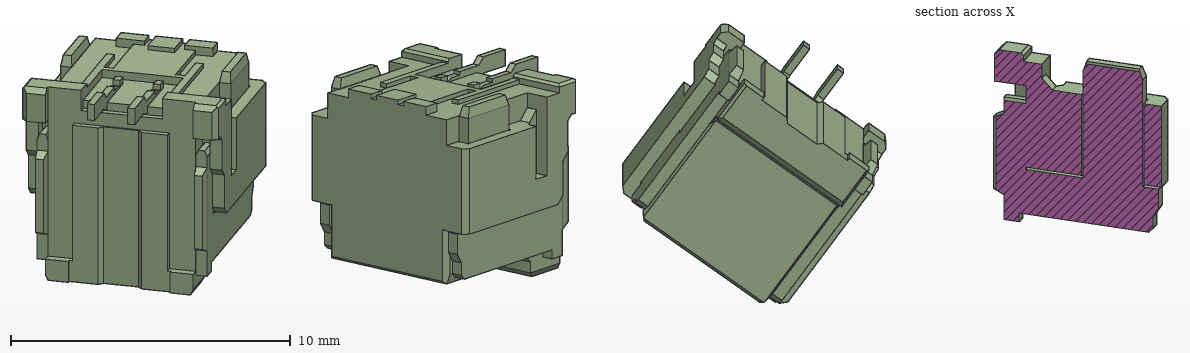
import cadquery as cq


BODY_HALF_WIDTH = 2.75
BODY_DEPTH = 6.04
BODY_BOTTOM = 0.80
BODY_TOP = 6.94
BODY_TAPER_HEIGHT = 0.375
BODY_TAPER_WIDTH = 0.08
SMALL_CHAMFER = 0.10
LARGE_CHAMFER = 0.20

HEAD_HALF_WIDTH = 3.65
HEAD_REAR = 5.25
HEAD_FRONT = 6.37
HEAD_BOTTOM = 5.99
HEAD_TOP = 7.26

WING_INNER = 3.20
WING_BOTTOM = 2.81
WING_SHOULDER = 4.55
NOTCH_UPPER_DEPTH = 5.73
NOTCH_LOWER_DEPTH = 5.45
NOTCH_TOP_CHAMFER = 0.20
NOTCH_STEP_TOP = 4.64
NOTCH_STEP_BOTTOM = 3.09
NOTCH_SLOPE = 0.28
SLOT_REAR = 3.94
SLOT_BOTTOM = 4.02
SLOT_FLOOR_X = 3.17
SLOT_BEVEL = 0.19
RAMP_SIZE = 0.40

CLIP_OUTER = 3.17
CLIP_REAR = 0.10
CLIP_FRONT = 6.01
CLIP_BOTTOM = 0.98
CLIP_SHOULDER = 2.74
CLIP_REAR_STEP = 0.22
CLIP_STEP_TOP = 1.99
CLIP_STEP_BOTTOM = 1.63
CLIP_CORNER = 0.18
CLIP_LEG_REAR = 5.42
CLIP_LEG_BOTTOM = 0.64
CLIP_COLUMN_REAR = 5.17
CLIP_COLUMN_TOP = 5.42
CLIP_COLUMN_CHAMFER_X = 0.09
CLIP_COLUMN_CHAMFER_Z = 0.22
TAB_REAR = 0.71
TAB_FRONT = 3.00
TAB_TOP = 7.30
TAB_BEVEL_HEIGHT = 0.39
TAB_BEVEL_LENGTH = 0.14
TAB_CLEARANCE = 0.04
RIDGE_FRONT = 6.41
RIDGE_BOTTOM = 1.61
RIDGE_TOP = 4.79
RIDGE_BEVEL_HEIGHT = 0.19
CLIP_EDGE_BEVEL = 0.06

PLATEAU_TOP = 7.10
PLATEAU_HALF_WIDTH = 1.16
RAIL_INNER = 1.51
RAIL_OUTER = 1.80
RAIL_REAR = 1.81
PLATEAU_SLOT_FRONT = 3.15
REAR_BLOCK_INNER = 0.75
REAR_BLOCK_DEPTH = 0.61
CENTER_BLOCK_HALF_WIDTH = 0.50
CENTER_BLOCK_DEPTH = 1.02
POCKET_REAR = 3.40
POCKET_FLOOR = 6.80
POCKET_STEP_DEPTH = 5.79
POCKET_STEP_FLOOR = 6.49

PANEL_HALF_WIDTH = 1.77
PANEL_TOP = 5.98
PANEL_FRONT = 6.27
TROUGH_HALF_WIDTH = 0.65
TROUGH_DEPTH = 0.16
FOOT_REAR = 4.72
FOOT_STRAIGHT_TOP = 0.61
FOOT_INNER = 1.89
FOOT_TAPER_WIDTH = 0.10

PIN_PITCH = 1.50
PIN_WIDTH = 0.27
PIN_REAR = 3.78
PIN_BLOCK_FRONT = 4.14
PIN_NECK_TOP = 6.83
PIN_RAMP_REAR = 4.19
PIN_RAMP_MIDDLE = (4.32, 6.895)
PIN_RAMP_FRONT = 4.48
PIN_STEP_TOP = 6.92
PIN_BAR_REAR = 4.84
PIN_BAR_TOP = 7.05
PIN_RISE_REAR = 5.91
PIN_RISE_FRONT = 6.17
PIN_TOP = 7.30
PIN_TIP = 7.40
PIN_TIP_BOTTOM = 6.69
PIN_ROOT_BOTTOM = 6.55
PIN_BEND_START = 5.93
PIN_BEND_END = 6.20


def block(x_range, depth_range, z_range):
    """Box between two X positions, two depths and two heights."""
    x0, x1 = x_range
    d0, d1 = depth_range
    z0, z1 = z_range
    return cq.Workplane("XY").box(x1 - x0, d1 - d0, z1 - z0, centered=False).translate((x0, -d1, z0))


def side_prism(outline, x_range):
    """Prism along X from (depth, height) points."""
    points = [(-depth, z) for depth, z in outline]
    x0, x1 = x_range
    return cq.Workplane("YZ", origin=(x0, 0, 0)).polyline(points).close().extrude(x1 - x0)


def front_prism(outline, depth_range):
    """Prism along Y from (x, height) points."""
    d0, d1 = depth_range
    return cq.Workplane("XZ", origin=(0, -d0, 0)).polyline(outline).close().extrude(d1 - d0)


def plan_prism(outline, z_range):
    """Prism along Z from (x, depth) points."""
    points = [(x, -depth) for x, depth in outline]
    z0, z1 = z_range
    return cq.Workplane("XY", origin=(0, 0, z0)).polyline(points).close().extrude(z1 - z0)


def both_sides(shape):
    """A shape on the -X side together with its mirror image."""
    return shape.union(shape.mirror("YZ"))


def centered(half_width):
    return (-half_width, half_width)


def tapered_section(half_width, bottom, top, taper_width, taper_height):
    """Rectangle whose lower corners are cut off."""
    return [
        (-half_width, top),
        (half_width, top),
        (half_width, bottom + taper_height),
        (half_width - taper_width, bottom),
        (-half_width + taper_width, bottom),
        (-half_width, bottom + taper_height),
    ]


def make_body():
    section = tapered_section(BODY_HALF_WIDTH, BODY_BOTTOM, BODY_TOP, BODY_TAPER_WIDTH, BODY_TAPER_HEIGHT)
    body = front_prism(section, (0, BODY_DEPTH))
    body = body.faces(">Y").edges("<Z").chamfer(SMALL_CHAMFER)
    corner = plan_prism(
        [
            (-BODY_HALF_WIDTH, 0),
            (-BODY_HALF_WIDTH + LARGE_CHAMFER, 0),
            (-BODY_HALF_WIDTH, LARGE_CHAMFER),
        ],
        (BODY_BOTTOM, WING_BOTTOM),
    )
    return body.cut(both_sides(corner))


def make_head():
    head = block(centered(HEAD_HALF_WIDTH), (HEAD_REAR, HEAD_FRONT), (HEAD_BOTTOM, HEAD_TOP))
    head = head.faces("<Y").edges("<X or >X or >Z").chamfer(LARGE_CHAMFER)
    head = head.faces(">Z").edges("<X or >X or >Y").chamfer(SMALL_CHAMFER)
    recess = block(centered(BODY_HALF_WIDTH), (BODY_DEPTH, HEAD_FRONT), (HEAD_BOTTOM, HEAD_TOP))
    return head.cut(recess)


def make_wing():
    wing = side_prism(
        [
            (0, WING_BOTTOM),
            (0, HEAD_BOTTOM),
            (WING_SHOULDER, HEAD_BOTTOM),
            (WING_SHOULDER, BODY_TOP),
            (BODY_DEPTH, BODY_TOP),
            (BODY_DEPTH, HEAD_BOTTOM),
            (NOTCH_UPPER_DEPTH + NOTCH_TOP_CHAMFER, HEAD_BOTTOM),
            (NOTCH_UPPER_DEPTH, HEAD_BOTTOM - NOTCH_TOP_CHAMFER),
            (NOTCH_UPPER_DEPTH, NOTCH_STEP_TOP),
            (NOTCH_LOWER_DEPTH, NOTCH_STEP_TOP - NOTCH_SLOPE),
            (NOTCH_LOWER_DEPTH, NOTCH_STEP_BOTTOM),
            (NOTCH_LOWER_DEPTH - NOTCH_SLOPE, WING_BOTTOM),
        ],
        (-HEAD_HALF_WIDTH, -BODY_HALF_WIDTH),
    )
    wing = wing.cut(
        block((-HEAD_HALF_WIDTH, -BODY_HALF_WIDTH), (HEAD_REAR, BODY_DEPTH), (HEAD_BOTTOM, BODY_TOP))
    )
    wing = wing.faces(">Y").edges("<X").chamfer(LARGE_CHAMFER)
    slot = plan_prism(
        [
            (-HEAD_HALF_WIDTH, SLOT_REAR),
            (-SLOT_FLOOR_X - SLOT_BEVEL, SLOT_REAR),
            (-SLOT_FLOOR_X, SLOT_REAR + SLOT_BEVEL),
            (-SLOT_FLOOR_X, WING_SHOULDER),
            (-HEAD_HALF_WIDTH, WING_SHOULDER),
        ],
        (SLOT_BOTTOM, HEAD_BOTTOM),
    )
    ramp = side_prism(
        [
            (WING_SHOULDER - RAMP_SIZE, HEAD_BOTTOM),
            (WING_SHOULDER, HEAD_BOTTOM + RAMP_SIZE),
            (WING_SHOULDER, HEAD_BOTTOM),
        ],
        (-SLOT_FLOOR_X, -BODY_HALF_WIDTH),
    )
    tab_window = block(
        (-WING_INNER, -BODY_HALF_WIDTH),
        (TAB_REAR - TAB_CLEARANCE, TAB_FRONT + TAB_CLEARANCE),
        (WING_BOTTOM, HEAD_BOTTOM),
    )
    clip_pocket = block(
        (-WING_INNER, -BODY_HALF_WIDTH),
        (CLIP_COLUMN_REAR, BODY_DEPTH),
        (WING_BOTTOM, HEAD_BOTTOM),
    )
    return wing.cut(slot).cut(tab_window).cut(clip_pocket).union(ramp)


def make_clip_tab():
    """Upper end of the clip, which stands out of the wing's window."""
    bevel_start = TAB_TOP - TAB_BEVEL_HEIGHT
    profile = side_prism(
        [
            (TAB_REAR, CLIP_SHOULDER),
            (TAB_REAR, bevel_start),
            (TAB_REAR + TAB_BEVEL_LENGTH, TAB_TOP),
            (TAB_FRONT - TAB_BEVEL_LENGTH, TAB_TOP),
            (TAB_FRONT, bevel_start),
            (TAB_FRONT, CLIP_SHOULDER),
        ],
        (-CLIP_OUTER, -BODY_HALF_WIDTH),
    )
    section = front_prism(
        [
            (-CLIP_OUTER, CLIP_SHOULDER),
            (-CLIP_OUTER, bevel_start),
            (-CLIP_OUTER + CLIP_EDGE_BEVEL, TAB_TOP),
            (-BODY_HALF_WIDTH - CLIP_EDGE_BEVEL, TAB_TOP),
            (-BODY_HALF_WIDTH, bevel_start),
            (-BODY_HALF_WIDTH, CLIP_SHOULDER),
        ],
        (TAB_REAR, TAB_FRONT),
    )
    return profile.intersect(section)


def make_clip_ridge():
    """Bevelled strip on the front edge of the clip."""
    profile = side_prism(
        [
            (CLIP_FRONT, RIDGE_BOTTOM),
            (RIDGE_FRONT, RIDGE_BOTTOM + RIDGE_BEVEL_HEIGHT),
            (RIDGE_FRONT, RIDGE_TOP - RIDGE_BEVEL_HEIGHT),
            (CLIP_FRONT, RIDGE_TOP),
        ],
        (-CLIP_OUTER, -BODY_HALF_WIDTH),
    )
    section = plan_prism(
        [
            (-CLIP_OUTER, CLIP_FRONT),
            (-CLIP_OUTER + CLIP_EDGE_BEVEL, RIDGE_FRONT),
            (-BODY_HALF_WIDTH - CLIP_EDGE_BEVEL, RIDGE_FRONT),
            (-BODY_HALF_WIDTH, CLIP_FRONT),
        ],
        (RIDGE_BOTTOM, RIDGE_TOP),
    )
    return profile.intersect(section)


def make_clip():
    plate = side_prism(
        [
            (CLIP_REAR, CLIP_SHOULDER),
            (CLIP_REAR, CLIP_STEP_TOP),
            (CLIP_REAR + CLIP_REAR_STEP, CLIP_STEP_BOTTOM),
            (CLIP_REAR + CLIP_REAR_STEP, CLIP_BOTTOM + CLIP_CORNER),
            (CLIP_REAR + CLIP_REAR_STEP + CLIP_CORNER, CLIP_BOTTOM),
            (CLIP_LEG_REAR, CLIP_BOTTOM),
            (CLIP_LEG_REAR, CLIP_LEG_BOTTOM),
            (CLIP_FRONT, CLIP_LEG_BOTTOM),
            (CLIP_FRONT, CLIP_SHOULDER),
        ],
        (-CLIP_OUTER, -BODY_HALF_WIDTH),
    )
    bevel_start = CLIP_COLUMN_TOP - CLIP_COLUMN_CHAMFER_Z
    column = front_prism(
        [
            (-CLIP_OUTER, CLIP_SHOULDER),
            (-CLIP_OUTER, bevel_start),
            (-CLIP_OUTER + CLIP_COLUMN_CHAMFER_X, CLIP_COLUMN_TOP),
            (-BODY_HALF_WIDTH - CLIP_COLUMN_CHAMFER_X, CLIP_COLUMN_TOP),
            (-BODY_HALF_WIDTH, bevel_start),
            (-BODY_HALF_WIDTH, CLIP_SHOULDER),
        ],
        (CLIP_COLUMN_REAR, CLIP_FRONT),
    )
    return plate.union(column).union(make_clip_tab()).union(make_clip_ridge())


def make_plateau():
    """Raised surface on the top: a panel and two rails joined by a bridge in front of two narrow slots."""
    top = (BODY_TOP, PLATEAU_TOP)
    panel = block(centered(PLATEAU_HALF_WIDTH), (0, HEAD_REAR), top)
    bridge = block(centered(RAIL_OUTER), (PLATEAU_SLOT_FRONT, HEAD_REAR), top)
    rail = block((-RAIL_OUTER, -RAIL_INNER), (RAIL_REAR, HEAD_REAR), top)
    return panel.union(bridge).union(both_sides(rail))


def make_rear_blocks():
    heights = (BODY_TOP, HEAD_TOP)
    outer = block((-RAIL_OUTER, -REAR_BLOCK_INNER), (0, REAR_BLOCK_DEPTH), heights)
    center = block(centered(CENTER_BLOCK_HALF_WIDTH), (0, CENTER_BLOCK_DEPTH), heights)
    return both_sides(outer).union(center)


def make_pocket():
    half = centered(RAIL_INNER)
    upper = block(half, (POCKET_REAR, HEAD_FRONT), (POCKET_FLOOR, HEAD_TOP))
    step = block(half, (POCKET_STEP_DEPTH, HEAD_FRONT), (POCKET_STEP_FLOOR, POCKET_FLOOR))
    return upper.union(step)


def make_front_panel():
    panel = block(centered(PANEL_HALF_WIDTH), (BODY_DEPTH, PANEL_FRONT), (0, PANEL_TOP))
    widening = block(centered(FOOT_INNER), (BODY_DEPTH, PANEL_FRONT), (0, BODY_BOTTOM))
    trough_floor = PANEL_FRONT - TROUGH_DEPTH
    trough_mouth = TROUGH_HALF_WIDTH + TROUGH_DEPTH
    trough = plan_prism(
        [
            (-trough_mouth, PANEL_FRONT),
            (-TROUGH_HALF_WIDTH, trough_floor),
            (TROUGH_HALF_WIDTH, trough_floor),
            (trough_mouth, PANEL_FRONT),
        ],
        (0, PANEL_TOP),
    )
    return panel.union(widening).cut(trough)


def make_feet():
    """Flange under the front of the body, reaching forward at its two outer ends."""
    brace_rise = BODY_BOTTOM + BODY_TAPER_HEIGHT - FOOT_STRAIGHT_TOP
    profile = side_prism(
        [
            (FOOT_REAR, LARGE_CHAMFER),
            (FOOT_REAR, FOOT_STRAIGHT_TOP),
            (FOOT_REAR - brace_rise, FOOT_STRAIGHT_TOP + brace_rise),
            (BODY_DEPTH, FOOT_STRAIGHT_TOP + brace_rise),
            (BODY_DEPTH, BODY_BOTTOM),
            (HEAD_FRONT, BODY_BOTTOM),
            (HEAD_FRONT, 0),
            (FOOT_REAR + LARGE_CHAMFER, 0),
        ],
        centered(BODY_HALF_WIDTH),
    )
    section = tapered_section(BODY_HALF_WIDTH, 0, BODY_TOP, FOOT_TAPER_WIDTH, LARGE_CHAMFER)
    gap = block(centered(FOOT_INNER), (BODY_DEPTH, HEAD_FRONT), (0, BODY_BOTTOM))
    return profile.intersect(front_prism(section, (0, HEAD_FRONT))).cut(gap)


def make_pin(x_center):
    outline = (
        cq.Workplane("YZ", origin=(x_center - PIN_WIDTH / 2, 0, 0))
        .moveTo(-PIN_REAR, PIN_ROOT_BOTTOM)
        .lineTo(-PIN_REAR, PIN_BAR_TOP)
        .lineTo(-PIN_BLOCK_FRONT, PIN_BAR_TOP)
        .lineTo(-PIN_BLOCK_FRONT, PIN_NECK_TOP)
        .lineTo(-PIN_RAMP_REAR, PIN_NECK_TOP)
        .threePointArc((-PIN_RAMP_MIDDLE[0], PIN_RAMP_MIDDLE[1]), (-PIN_RAMP_FRONT, PIN_STEP_TOP))
        .lineTo(-PIN_BAR_REAR, PIN_STEP_TOP)
        .lineTo(-PIN_BAR_REAR, PIN_BAR_TOP)
        .lineTo(-PIN_RISE_REAR, PIN_BAR_TOP)
        .lineTo(-PIN_RISE_FRONT, PIN_TOP)
        .lineTo(-PIN_TIP, PIN_TOP)
        .lineTo(-PIN_TIP, PIN_TIP_BOTTOM)
        .lineTo(-PIN_BEND_END, PIN_TIP_BOTTOM)
        .lineTo(-PIN_BEND_START, PIN_ROOT_BOTTOM)
        .close()
    )
    return outline.extrude(PIN_WIDTH)


result = make_body().union(make_plateau()).union(make_rear_blocks())
result = result.union(make_head()).union(both_sides(make_wing()))
result = result.union(make_feet()).union(make_front_panel())
result = result.cut(make_pocket())
result = result.union(both_sides(make_clip()))
for pin_x in (-PIN_PITCH / 2, PIN_PITCH / 2):
    result = result.union(make_pin(pin_x))